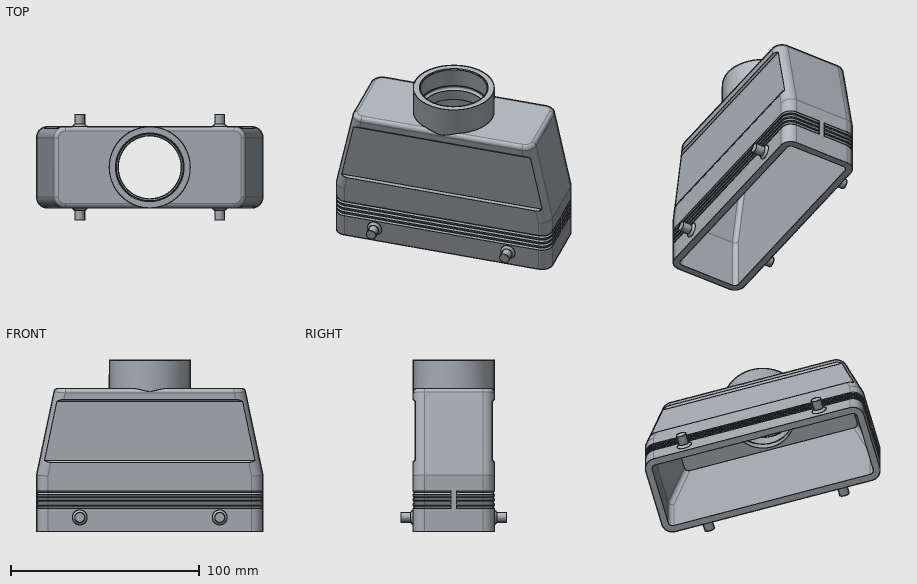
import cadquery as cq

LENGTH = 120.0
DEPTH = 43.2
TOP_LENGTH = 100.8
SHOULDER_HEIGHT = 30.0
ROOF_HEIGHT = 76.0
WALL = 3.6
CORNER_RADIUS = 6.0
ROOF_EDGE_RADIUS = 2.4

PANEL_DEPTH = 1.1
PANEL_BOTTOM = 37.8
PANEL_TOP = 69.0

GROOVE_COUNT = 4
GROOVE_PITCH = 2.5
GROOVE_DEPTH = 0.8
LOWEST_GROOVE_HEIGHT = 13.1
GROOVE_GAP = 3.1

PIN_DIAMETER = 5.3
PIN_SPACING = 74.2
PIN_HEIGHT = 7.5
PIN_SPAN = 56.0
PIN_FOOT_DIAMETER = 7.9
PIN_FOOT_LENGTH = 1.3

COLLAR_DIAMETER = 43.0
COLLAR_TOP = 91.0
ENTRY_DIAMETER = 35.4
ENTRY_DEPTH = 12.8
ENTRY_CHAMFER = 0.5
RELIEF_LENGTH = 2.2
RELIEF_DEPTH = 0.4
STEP_RADIUS = 1.3
BORE_DIAMETER = 33.4


def tapered_block(inset):
    """House-shaped block with rounded corners, set in by `inset` from the outside."""
    end_slope = (LENGTH - TOP_LENGTH) / 2 / (ROOF_HEIGHT - SHOULDER_HEIGHT)
    half_base = LENGTH / 2 - inset
    half_top = TOP_LENGTH / 2 - inset + inset * end_slope
    return (
        cq.Workplane("XZ")
        .moveTo(-half_base, 0)
        .lineTo(half_base, 0)
        .lineTo(half_base, SHOULDER_HEIGHT)
        .lineTo(half_top, ROOF_HEIGHT - inset)
        .lineTo(-half_top, ROOF_HEIGHT - inset)
        .lineTo(-half_base, SHOULDER_HEIGHT)
        .close()
        .extrude(DEPTH / 2 - inset, both=True)
        .edges("not(|X or |Y)")
        .fillet(CORNER_RADIUS - inset)
    )


def panel_cutter():
    """Slab outside the front wall that cuts the recess, with 45 degree top and bottom edges."""
    wall = -DEPTH / 2
    floor = wall + PANEL_DEPTH
    return (
        cq.Workplane("YZ")
        .moveTo(wall, PANEL_BOTTOM - PANEL_DEPTH)
        .lineTo(floor, PANEL_BOTTOM)
        .lineTo(floor, PANEL_TOP)
        .lineTo(wall, PANEL_TOP + PANEL_DEPTH)
        .close()
        .extrude(LENGTH / 2, both=True)
    )


def groove_cutter(height):
    """V groove ring around the base at the given height, interrupted at the middle of each end."""
    outline = cq.Sketch().rect(LENGTH, DEPTH).vertices().fillet(CORNER_RADIUS)
    base = cq.Workplane("XY", origin=(0, 0, height - GROOVE_DEPTH)).placeSketch(outline)
    lower_core = base.extrude(GROOVE_DEPTH, taper=45)
    upper_core = lower_core.mirror("XY", (0, 0, height))
    ring = base.extrude(2 * GROOVE_DEPTH).cut(lower_core).cut(upper_core)
    gap = cq.Workplane("XY", origin=(0, 0, height)).box(LENGTH, GROOVE_GAP, 2 * GROOVE_DEPTH)
    return ring.cut(gap)


def locking_pin(x):
    """Pin on the front wall with a conical foot, rooted inside the wall."""
    wall = DEPTH / 2
    root = wall - WALL / 2
    return (
        cq.Workplane("XY", origin=(x, 0, PIN_HEIGHT))
        .moveTo(0, -root)
        .lineTo(PIN_FOOT_DIAMETER / 2, -root)
        .lineTo(PIN_FOOT_DIAMETER / 2, -wall)
        .lineTo(PIN_DIAMETER / 2, -wall - PIN_FOOT_LENGTH)
        .lineTo(PIN_DIAMETER / 2, -PIN_SPAN / 2)
        .lineTo(0, -PIN_SPAN / 2)
        .close()
        .revolve(360, (0, 0), (0, 1))
    )


def cable_entry():
    """Stepped bore through the collar and roof, as one turned cutter."""
    bore_radius = BORE_DIAMETER / 2
    entry_radius = ENTRY_DIAMETER / 2
    relief_radius = entry_radius + RELIEF_DEPTH
    step_height = COLLAR_TOP - ENTRY_DEPTH
    bore_bottom = ROOF_HEIGHT - 2 * WALL
    return (
        cq.Workplane("XZ")
        .moveTo(0, bore_bottom)
        .lineTo(bore_radius, bore_bottom)
        .lineTo(bore_radius, step_height)
        .lineTo(relief_radius - STEP_RADIUS, step_height)
        .radiusArc((relief_radius, step_height + STEP_RADIUS), -STEP_RADIUS)
        .lineTo(relief_radius, step_height + RELIEF_LENGTH)
        .lineTo(entry_radius, step_height + RELIEF_LENGTH)
        .lineTo(entry_radius, COLLAR_TOP - ENTRY_CHAMFER)
        .lineTo(entry_radius + ENTRY_CHAMFER, COLLAR_TOP)
        .lineTo(0, COLLAR_TOP)
        .close()
        .revolve(360, (0, 0), (0, 1))
    )


hood = tapered_block(0).faces(">Z").edges().fillet(ROOF_EDGE_RADIUS)
front_panel = panel_cutter()
hood = hood.cut(front_panel).cut(front_panel.mirror("XZ"))
for index in range(GROOVE_COUNT):
    hood = hood.cut(groove_cutter(LOWEST_GROOVE_HEIGHT + index * GROOVE_PITCH))

collar_base = ROOF_HEIGHT - WALL
collar = (
    cq.Workplane("XY", origin=(0, 0, collar_base))
    .circle(COLLAR_DIAMETER / 2)
    .extrude(COLLAR_TOP - collar_base)
)
hood = hood.union(collar)

for x in (-PIN_SPACING / 2, PIN_SPACING / 2):
    front_pin = locking_pin(x)
    hood = hood.union(front_pin).union(front_pin.mirror("XZ"))

result = hood.cut(tapered_block(WALL)).cut(cable_entry())